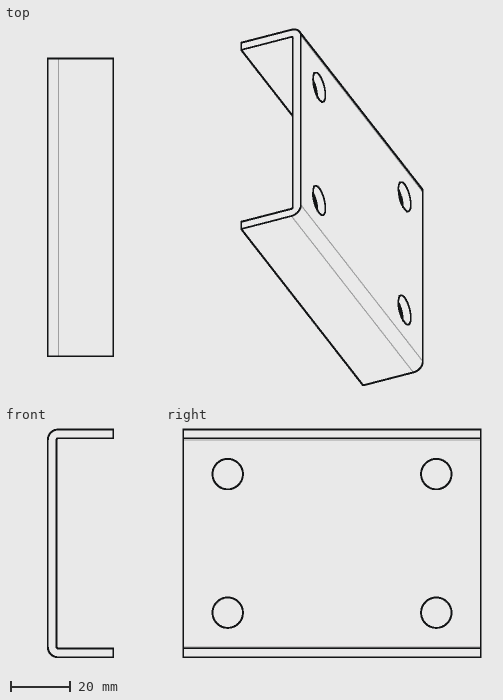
import cadquery as cq

depth = 22.0
length = 100.0
height = 76.5

thickness = 3.0
inner_bend_radius = 0.5
outer_bend_radius = inner_bend_radius + thickness

hole_diameter = 10.15
hole_spacing_y = 70.0
hole_spacing_z = 46.5


def channel():
    """U-shaped bent sheet: web on the -X side, flanges reaching toward +X."""
    outer = (
        cq.Workplane("XY")
        .box(depth, length, height, centered=(False, True, True))
        .edges("<X and |Y")
        .fillet(outer_bend_radius)
    )
    inner = (
        cq.Workplane("XY")
        .box(depth, length, height - 2 * thickness, centered=(False, True, True))
        .edges("<X and |Y")
        .fillet(inner_bend_radius)
        .translate((thickness, 0, 0))
    )
    return outer.cut(inner)


def web_holes():
    """Four cylinders crossing the web along X."""
    return (
        cq.Workplane("YZ")
        .rarray(hole_spacing_y, hole_spacing_z, 2, 2)
        .circle(hole_diameter / 2)
        .extrude(thickness)
    )


result = channel().cut(web_holes())